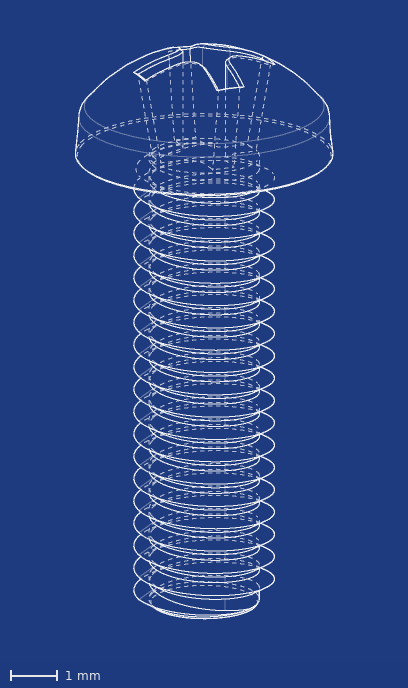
import cadquery as cq
import math


head_radius = 2.745
head_edge_break = 0.04
side_top_radius = 2.67
side_top_height = 0.85
dome_edge_radius = 2.555
dome_edge_height = 1.11
dome_apex_height = 2.34
shoulder_bulge = 0.035

arm_half_width = 0.244
arm_floor_half_length = 1.09
arm_corner_radius = 0.45
recess_floor_height = 0.05
recess_end_slope = 80.0
recess_rim_chamfer = 0.07

shank_length = 10.0
core_radius = 1.175
tip_chamfer_width = 0.04
tip_chamfer_height = 0.07

pitch = 0.5
crest_radius = 1.5
flank_angle = 30.0
root_overlap = 0.035
fade_turns = 0.35
thread_start_angle = 144.0
thread_start_depth = 0.087
full_turns = 19
points_per_turn = 16
fewest_points = 8

thread_turns = full_turns + 2 * fade_turns
thread_height = crest_radius - core_radius
flank_slope = math.tan(math.radians(flank_angle))


def make_head():
    """Revolve the head outline: bevelled lower edge, tapered side, rounded shoulder, spherical dome."""
    dome_rise = dome_apex_height - dome_edge_height
    dome_radius = (dome_edge_radius**2 + dome_rise**2) / (2 * dome_rise)
    dome_centre = dome_apex_height - dome_radius
    dome_mid_radius = dome_edge_radius / 2
    dome_mid_height = dome_centre + math.sqrt(dome_radius**2 - dome_mid_radius**2)

    chord_run = side_top_radius - dome_edge_radius
    chord_rise = dome_edge_height - side_top_height
    chord = math.hypot(chord_run, chord_rise)
    shoulder_mid = (
        (side_top_radius + dome_edge_radius) / 2 + shoulder_bulge * chord_rise / chord,
        (side_top_height + dome_edge_height) / 2 + shoulder_bulge * chord_run / chord,
    )
    return (
        cq.Workplane("YZ")
        .moveTo(0, 0)
        .lineTo(head_radius - head_edge_break, 0)
        .lineTo(head_radius, head_edge_break)
        .lineTo(side_top_radius, side_top_height)
        .threePointArc(shoulder_mid, (dome_edge_radius, dome_edge_height))
        .threePointArc((dome_mid_radius, dome_mid_height), (0, dome_apex_height))
        .close()
        .revolve(360, (0, 0), (0, 1))
    )


def arm_half_length_at(height):
    """Half length of a recess arm at a given height, widening upwards from the floor."""
    end_taper = math.tan(math.radians(recess_end_slope))
    return arm_floor_half_length + (height - recess_floor_height) / end_taper


def make_recess_arm():
    """One double-ended arm of the cross along X, tapering in towards the floor."""
    top_half_length = arm_half_length_at(dome_apex_height)
    return (
        cq.Workplane("XZ")
        .moveTo(-arm_floor_half_length, recess_floor_height)
        .lineTo(arm_floor_half_length, recess_floor_height)
        .lineTo(top_half_length, dome_apex_height)
        .lineTo(-top_half_length, dome_apex_height)
        .close()
        .extrude(arm_half_width, both=True)
    )


def make_recess():
    """Two crossed arms with rounded inner corners."""
    arm = make_recess_arm()
    cross = arm.union(arm.rotate((0, 0, 0), (0, 0, 1), 90))
    inner = 2 * arm_half_width
    corner_zone = cq.selectors.BoxSelector(
        (-inner, -inner, 0), (inner, inner, dome_apex_height)
    )
    return cross.edges("|Z").edges(corner_zone).fillet(arm_corner_radius)


def cut_recess(head):
    """Cut the cross recess and bevel its rim on the dome."""
    cut_head = head.cut(make_recess())
    reach = arm_half_length_at(dome_apex_height)
    rim_zone = cq.selectors.BoxSelector(
        (-reach, -reach, (dome_edge_height + dome_apex_height) / 2), (reach, reach, dome_apex_height)
    )
    return cut_head.faces("%SPHERE").edges(rim_zone).chamfer(recess_rim_chamfer)


def make_core():
    """Plain cylinder at the thread root with a small chamfer at its tip."""
    return (
        cq.Workplane("XZ")
        .lineTo(core_radius, 0)
        .lineTo(core_radius, tip_chamfer_height - shank_length)
        .lineTo(core_radius - tip_chamfer_width, -shank_length)
        .lineTo(0, -shank_length)
        .close()
        .revolve(360, (0, 0), (0, 1))
    )


def thread_edge(first_turn, last_turn, side):
    """Helical edge of the thread ridge: side 0 is the crest, +1 and -1 the upper and lower roots."""

    def point(turn):
        fade = min(1, turn / fade_turns, (thread_turns - turn) / fade_turns)
        height = thread_height * fade
        angle = math.radians(thread_start_angle + 360 * turn)
        radius = core_radius + height if side == 0 else core_radius - root_overlap
        half_width = (height + root_overlap) * flank_slope
        level = -thread_start_depth - pitch * turn + side * half_width
        return (radius * math.cos(angle), radius * math.sin(angle), level)

    steps = max(fewest_points, round((last_turn - first_turn) * points_per_turn))
    return cq.Workplane("XY").parametricCurve(point, N=steps, start=first_turn, stop=last_turn).val()


def make_thread_piece(first_turn, last_turn):
    """Closed triangular ridge between two turn counts."""
    crest = thread_edge(first_turn, last_turn, 0)
    upper = thread_edge(first_turn, last_turn, 1)
    lower = thread_edge(first_turn, last_turn, -1)
    faces = [
        cq.Face.makeRuledSurface(upper, crest),
        cq.Face.makeRuledSurface(crest, lower),
        cq.Face.makeRuledSurface(lower, upper),
    ]
    for end in (0, 1):
        corners = [edge.positionAt(end) for edge in (crest, upper, lower)]
        faces.append(cq.Face.makeFromWires(cq.Wire.makePolygon(corners, close=True)))
    return cq.Workplane(cq.Solid.makeSolid(cq.Shell.makeShell(faces)))


def make_shank():
    """Core with the thread ridge, built one turn at a time between its two faded ends."""
    breaks = [0] + [fade_turns + turn for turn in range(full_turns + 1)] + [thread_turns]
    shank = make_core()
    for first_turn, last_turn in zip(breaks, breaks[1:]):
        shank = shank.union(make_thread_piece(first_turn, last_turn))
    return shank


head = cut_recess(make_head())
result = head.union(make_shank()).solids()